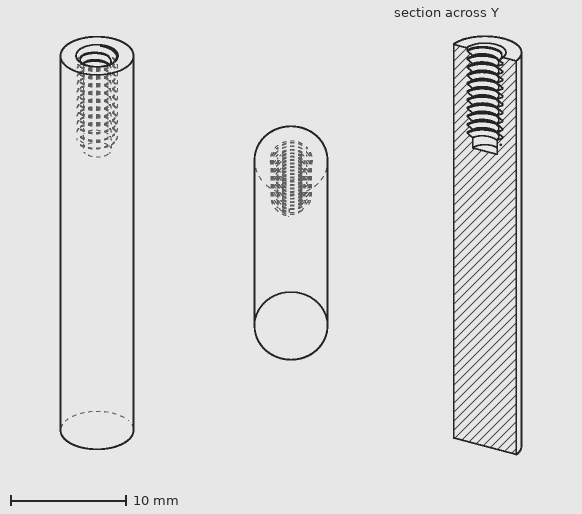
import cadquery as cq
import math

post_diameter = 6.35
post_length = 38.1

thread_pitch = 25.4 / 32
major_diameter = 3.505
minor_diameter = 2.43
half_flank_angle = math.radians(30)
root_flat = thread_pitch / 8

bore_depth = 9.525
countersink_diameter = 3.65
countersink_depth = (countersink_diameter - minor_diameter) / 2

groove_top_turn_depth = 0.65
turns_below_top_turn = 10
turns_above_top_turn = 2
groove_start_angle = 200
minus_x_angle = 180
groove_overlap = 0.02


def make_post():
    return cq.Workplane("XY").circle(post_diameter / 2).extrude(post_length)


def make_bore():
    """Straight bore with a conical mouth, as one turned profile."""
    floor_z = post_length - bore_depth
    cone_z = post_length - countersink_depth
    profile = (
        cq.Workplane("XZ")
        .moveTo(0, floor_z)
        .lineTo(-minor_diameter / 2, floor_z)
        .lineTo(-minor_diameter / 2, cone_z)
        .lineTo(-countersink_diameter / 2, post_length)
        .lineTo(0, post_length)
        .close()
    )
    return profile.revolve(360, (0, 0, 0), (0, 1, 0))


def groove_section():
    """Corners of the groove section as (radius, z), about z = 0."""
    root_radius = major_diameter / 2
    inner_radius = minor_diameter / 2 - groove_overlap
    root_half = root_flat / 2
    mouth_half = root_half + (root_radius - inner_radius) * math.tan(half_flank_angle)
    return [
        (inner_radius, -mouth_half),
        (root_radius, -root_half),
        (root_radius, root_half),
        (inner_radius, mouth_half),
    ]


def make_thread_groove():
    """Helical groove bounded by ruled faces between the helices of its corners."""
    section = groove_section()
    helix_height = (turns_below_top_turn + turns_above_top_turn) * thread_pitch
    helices = [
        cq.Wire.makeHelix(thread_pitch, helix_height, radius).translate(cq.Vector(0, 0, z))
        for radius, z in section
    ]
    next_helices = helices[1:] + helices[:1]
    faces = [
        cq.Face.makeRuledSurface(lower, upper)
        for lower, upper in zip(helices, next_helices)
    ]
    for end_z in (0, helix_height):
        corners = [cq.Vector(radius, 0, z + end_z) for radius, z in section]
        faces.append(cq.Face.makeFromWires(cq.Wire.makePolygon(corners, close=True)))
    groove = cq.Workplane(cq.Solid.makeSolid(cq.Shell.makeShell(faces)))

    lead_rise = thread_pitch * (groove_start_angle - minus_x_angle) / 360
    start_z = post_length - groove_top_turn_depth - turns_below_top_turn * thread_pitch + lead_rise
    return groove.rotate((0, 0, 0), (0, 0, 1), groove_start_angle).translate((0, 0, start_z))


result = make_post().cut(make_thread_groove()).cut(make_bore()).solids()